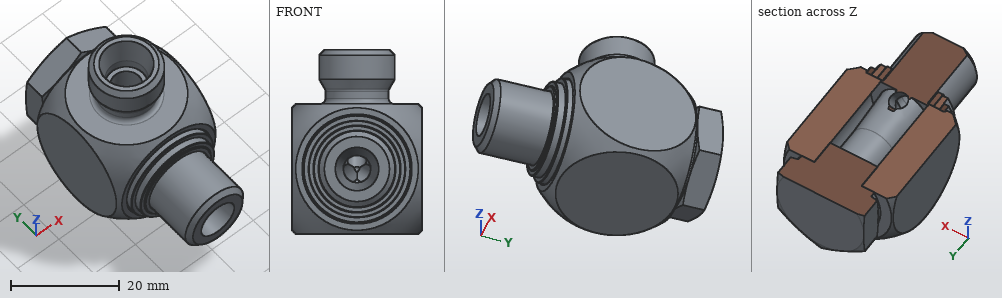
import cadquery as cq
import math


BLOCK_HALF = 12.0
BLOCK_BACK = 11.53
CORNER_SPHERE_R = 16.5

STUB_TOP = 22.0
STUB_D = 14.0
STUB_CHAMFER = 1.0
STUB_COLLAR_BOTTOM = 16.57
NECK_D = 11.7
NECK_CONE_ANGLE = 30
NECK_ROUND_R = 0.8
NECK_FOOT_R = 1.0
SOCKET_MOUTH_D = 10.1
SOCKET_D = 8.0
SOCKET_CONE_ANGLE = 12
SOCKET_DEPTH = 7.0
PASSAGE_D = 6.0

FRONT_END = -26.0
BACK_END = 17.5
HEX_FLATS = 19.0
HEX_LENGTH = 5.0
HEX_CHAMFER_ANGLE = 15
COLLAR_D = 18.95
SHANK_D = 14.35
STUD_D = 14.0
STUD_CHAMFER = 1.0

GROOVE_D = 9.5
GROOVE_BACK = 6.0
GROOVE_FLARE_START = -0.65
GROOVE_FRONT = -11.0
GROOVE_FLARE_ANGLE = 3

BORE_MOUTH_D = 8.0
BORE_D = 5.0
BORE_TAPER_LENGTH = 12.0
DRILL_TIP_ANGLE = 59
FLOW_HOLE_D = 3.5
FLOW_HOLE_COUNT = 3
FLOW_HOLE_TILT = 30
FLOW_HOLE_SETBACK = 2.5
FLOW_HOLE_LENGTH = 7.85

RECESS_DEPTH = 0.5
RECESS_CHAMFER = 0.2
OUTER_RING_D = 19.85
OUTER_RING_PROUD = 1.1
MIDDLE_RING_D = 17.92
MIDDLE_RING_PROUD = 2.55
INNER_RING_D = 15.8
INNER_RING_PROUD = 2.83
INNER_RING_HOLE_D = 14.2
LEAD_IN_D = 16.2
LEAD_IN_DEPTH = 0.11

EDGE_CHAMFER = 0.15

BLOCK_FRONT = -BLOCK_HALF
RING_SEAT = BLOCK_FRONT + RECESS_DEPTH
HEX_FRONT = BACK_END - HEX_LENGTH


def tan_deg(angle):
    return math.tan(math.radians(angle))


def turned_about_y(points):
    """Revolve a closed outline of (radius, y) points about the Y axis."""
    return cq.Workplane("XY").polyline(points).close().revolve(360, (0, 0), (0, 1))


def make_stub():
    radius = STUB_D / 2
    neck_radius = NECK_D / 2
    cone_bottom = STUB_COLLAR_BOTTOM - (radius - neck_radius) / tan_deg(NECK_CONE_ANGLE)

    tangent = NECK_ROUND_R * tan_deg(NECK_CONE_ANGLE / 2)
    slant = math.radians(NECK_CONE_ANGLE)
    half_slant = slant / 2
    round_top = (neck_radius + tangent * math.sin(slant), cone_bottom + tangent * math.cos(slant))
    round_bottom = (neck_radius, cone_bottom - tangent)
    round_middle = (
        neck_radius + NECK_ROUND_R * (1 - math.cos(half_slant)),
        round_bottom[1] + NECK_ROUND_R * math.sin(half_slant),
    )

    foot_top = BLOCK_HALF + NECK_FOOT_R
    foot_shift = NECK_FOOT_R * (1 - math.sqrt(0.5))
    foot_middle = (neck_radius + foot_shift, BLOCK_HALF + foot_shift)

    return (
        cq.Workplane("XZ")
        .moveTo(0, STUB_TOP)
        .lineTo(radius - STUB_CHAMFER, STUB_TOP)
        .lineTo(radius, STUB_TOP - STUB_CHAMFER)
        .lineTo(radius, STUB_COLLAR_BOTTOM)
        .lineTo(*round_top)
        .threePointArc(round_middle, round_bottom)
        .lineTo(neck_radius, foot_top)
        .threePointArc(foot_middle, (neck_radius + NECK_FOOT_R, BLOCK_HALF))
        .lineTo(neck_radius + NECK_FOOT_R, 0)
        .lineTo(0, 0)
        .close()
        .revolve(360, (0, 0), (0, 1))
    )


def make_socket():
    """Pipe socket and the passage that leads from it to the bolt bore."""
    mouth_radius = SOCKET_MOUTH_D / 2
    socket_radius = SOCKET_D / 2
    cone_bottom = STUB_TOP - (mouth_radius - socket_radius) / tan_deg(SOCKET_CONE_ANGLE)
    socket_floor = STUB_TOP - SOCKET_DEPTH
    outline = [
        (0, STUB_TOP),
        (mouth_radius, STUB_TOP),
        (socket_radius, cone_bottom),
        (socket_radius, socket_floor),
        (PASSAGE_D / 2, socket_floor),
        (PASSAGE_D / 2, 0),
        (0, 0),
    ]
    return cq.Workplane("XZ").polyline(outline).close().revolve(360, (0, 0), (0, 1))


def make_housing():
    width = 2 * BLOCK_HALF
    block = cq.Workplane("XY").box(width, BLOCK_BACK - BLOCK_FRONT, width)
    block = block.translate((0, (BLOCK_BACK + BLOCK_FRONT) / 2, 0))
    block = block.intersect(cq.Workplane("XY").sphere(CORNER_SPHERE_R))

    recess_radius = OUTER_RING_D / 2
    bolt_bore = turned_about_y([
        (0, BLOCK_FRONT),
        (recess_radius + RECESS_CHAMFER, BLOCK_FRONT),
        (recess_radius, BLOCK_FRONT + RECESS_CHAMFER),
        (recess_radius, RING_SEAT),
        (SHANK_D / 2, RING_SEAT),
        (SHANK_D / 2, BLOCK_BACK),
        (0, BLOCK_BACK),
    ])
    return block.union(make_stub()).cut(make_socket()).cut(bolt_bore)


def make_hex_head():
    """Hexagon with flats facing +X and -X, its corners bevelled at both ends."""
    corner_d = HEX_FLATS / math.cos(math.pi / 6)
    head = (
        cq.Workplane("XZ", origin=(0, BACK_END, 0))
        .transformed(rotate=(0, 0, 90))
        .polygon(6, corner_d)
        .extrude(HEX_LENGTH)
    )
    flat_radius = HEX_FLATS / 2
    corner_radius = corner_d / 2
    bevel = (corner_radius - flat_radius) * tan_deg(HEX_CHAMFER_ANGLE)
    envelope = turned_about_y([
        (0, HEX_FRONT),
        (flat_radius, HEX_FRONT),
        (corner_radius, HEX_FRONT + bevel),
        (corner_radius, BACK_END - bevel),
        (flat_radius, BACK_END),
        (0, BACK_END),
    ])
    return head.intersect(envelope)


def make_bolt_body():
    """Collar, grooved shank and stud."""
    collar_radius = COLLAR_D / 2
    shank_radius = SHANK_D / 2
    stud_radius = STUD_D / 2
    groove_radius = GROOVE_D / 2
    flare_length = GROOVE_FLARE_START - GROOVE_FRONT
    flare_radius = groove_radius + flare_length * tan_deg(GROOVE_FLARE_ANGLE)
    return turned_about_y([
        (0, HEX_FRONT),
        (collar_radius, HEX_FRONT),
        (collar_radius, BLOCK_BACK + EDGE_CHAMFER),
        (collar_radius - EDGE_CHAMFER, BLOCK_BACK),
        (shank_radius, BLOCK_BACK),
        (shank_radius, GROOVE_BACK),
        (groove_radius, GROOVE_BACK),
        (groove_radius, GROOVE_FLARE_START),
        (flare_radius, GROOVE_FRONT),
        (shank_radius, GROOVE_FRONT),
        (shank_radius, RING_SEAT),
        (stud_radius, RING_SEAT),
        (stud_radius, FRONT_END + STUD_CHAMFER),
        (stud_radius - STUD_CHAMFER, FRONT_END),
        (0, FRONT_END),
    ])


def make_bolt():
    bore_radius = BORE_D / 2
    bore_end = GROOVE_FRONT
    drill_tip = bore_end + bore_radius / tan_deg(DRILL_TIP_ANGLE)
    bore = turned_about_y([
        (0, FRONT_END),
        (BORE_MOUTH_D / 2, FRONT_END),
        (bore_radius, FRONT_END + BORE_TAPER_LENGTH),
        (bore_radius, bore_end),
        (0, drill_tip),
    ])
    bolt = make_hex_head().union(make_bolt_body()).cut(bore)

    start = cq.Vector(0, drill_tip - FLOW_HOLE_SETBACK, 0)
    tilt = math.radians(FLOW_HOLE_TILT)
    for index in range(FLOW_HOLE_COUNT):
        turn = math.pi / 2 + index * 2 * math.pi / FLOW_HOLE_COUNT
        direction = cq.Vector(
            math.cos(turn) * math.cos(tilt),
            math.sin(tilt),
            math.sin(turn) * math.cos(tilt),
        )
        hole = cq.Solid.makeCylinder(FLOW_HOLE_D / 2, FLOW_HOLE_LENGTH, start, direction)
        bolt = bolt.cut(cq.Workplane(hole))
    return bolt


def make_outer_ring():
    ring_front = BLOCK_FRONT - OUTER_RING_PROUD
    radius = OUTER_RING_D / 2
    return turned_about_y([
        (MIDDLE_RING_D / 2, RING_SEAT),
        (radius, RING_SEAT),
        (radius, ring_front + EDGE_CHAMFER),
        (radius - EDGE_CHAMFER, ring_front),
        (MIDDLE_RING_D / 2, ring_front),
    ])


def make_middle_ring():
    """Ring whose hole opens out slightly at its front end."""
    ring_front = BLOCK_FRONT - MIDDLE_RING_PROUD
    radius = MIDDLE_RING_D / 2
    return turned_about_y([
        (INNER_RING_D / 2, RING_SEAT),
        (radius, RING_SEAT),
        (radius, ring_front + EDGE_CHAMFER),
        (radius - EDGE_CHAMFER, ring_front),
        (LEAD_IN_D / 2, ring_front),
        (INNER_RING_D / 2, ring_front + LEAD_IN_DEPTH),
    ])


def make_inner_ring():
    ring_front = BLOCK_FRONT - INNER_RING_PROUD
    hole_radius = INNER_RING_HOLE_D / 2
    radius = INNER_RING_D / 2
    return turned_about_y([
        (hole_radius, RING_SEAT),
        (radius, RING_SEAT),
        (radius, ring_front),
        (hole_radius, ring_front),
    ])


housing = make_housing()
bolt = make_bolt()
outer_ring = make_outer_ring()
middle_ring = make_middle_ring()
inner_ring = make_inner_ring()

result = cq.Compound.makeCompound([
    housing.val(),
    bolt.val(),
    outer_ring.val(),
    middle_ring.val(),
    inner_ring.val(),
])